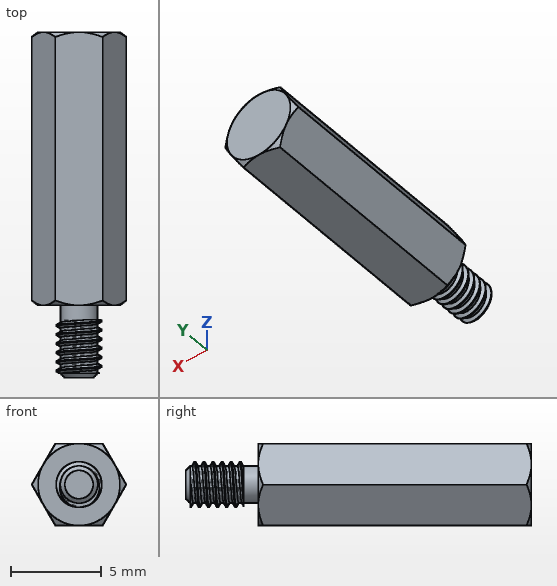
import cadquery as cq
import math

total_length = 19.0
stud_length = 3.99
body_length = total_length - stud_length

across_flats = 4.5
across_corners = across_flats / math.cos(math.radians(30))
corner_chamfer_depth = 0.27

core_radius = 1.03
thread_radius = 1.25
tip_chamfer = 0.25

pitch = stud_length / 8
helix_turns = 7.5
helix_start = 0.36
thread_start = 0.8
thread_end = stud_length - tip_chamfer
ridge_crest_width = 0.05
root_overlap = 0.04
flank_slope = math.tan(math.radians(30))


def hex_body():
    prism = (
        cq.Workplane("XY")
        .workplane(offset=-body_length)
        .polygon(6, across_corners)
        .extrude(body_length)
    )
    flat_radius = across_flats / 2
    corner_radius = across_corners / 2
    envelope = (
        cq.Workplane("XZ")
        .moveTo(0, 0)
        .lineTo(flat_radius, 0)
        .lineTo(corner_radius, -corner_chamfer_depth)
        .lineTo(corner_radius, corner_chamfer_depth - body_length)
        .lineTo(flat_radius, -body_length)
        .lineTo(0, -body_length)
        .close()
        .revolve(360, (0, 0, 0), (0, 1, 0))
    )
    return prism.intersect(envelope)


def stud_core():
    return cq.Workplane("XY").circle(core_radius).extrude(stud_length).faces(">Z").chamfer(tip_chamfer)


def thread_ridge():
    root_radius = core_radius - root_overlap
    half_crest = ridge_crest_width / 2
    half_root = half_crest + (thread_radius - root_radius) * flank_slope
    helix = cq.Wire.makeHelix(
        pitch, helix_turns * pitch, core_radius, center=cq.Vector(0, 0, helix_start)
    )
    ridge = (
        cq.Workplane("XZ")
        .moveTo(root_radius, helix_start - half_root)
        .lineTo(thread_radius, helix_start - half_crest)
        .lineTo(thread_radius, helix_start + half_crest)
        .lineTo(root_radius, helix_start + half_root)
        .close()
        .sweep(cq.Workplane(helix), isFrenet=True)
    )
    thread_zone = (
        cq.Workplane("XY")
        .workplane(offset=thread_start)
        .circle(thread_radius + pitch)
        .extrude(thread_end - thread_start)
    )
    return ridge.intersect(thread_zone)


standoff = hex_body().union(stud_core()).union(thread_ridge())
result = standoff.rotate((0, 0, 0), (1, 0, 0), 90)